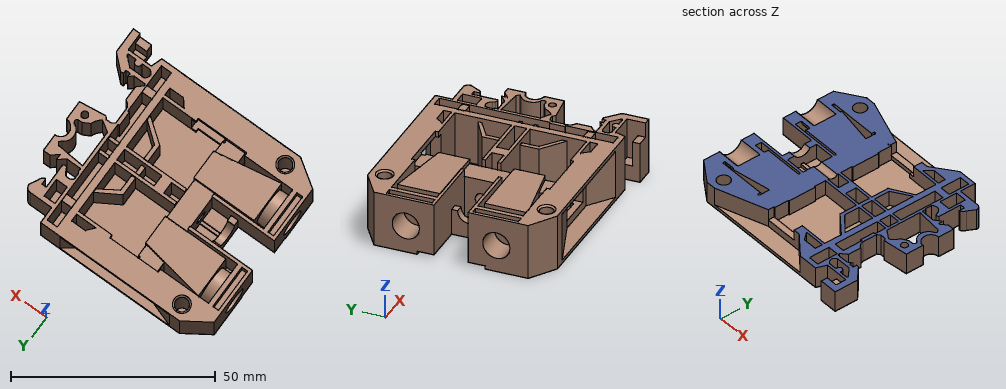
import cadquery as cq

length = 59.0
height = 15.0
half_width = 25.25
body_end = 48.95
bottom = 0.9
relief_half = 9.0
floor = 1.75
wall = 0.9

corner_x = 7.1
corner_y = 4.7
notch_half = 4.55
bar_front = 18.9
bar_back = 25.0
bar_top = 13.0
bar_hole_radius = 1.7
bar_key = 0.5

arm_inner = notch_half + wall
arm_outer = 17.5
arm_front = 3.9
chamber_end = 43.05
wide_front = 18.4
wide_back = 33.05
wide_outer = arm_outer + wall

axis_y = 12.05
axis_z = 7.4
bore_radius = 3.6
head_radius = 5.0
clamp_front = 7.1
clamp_back = 25.3
clamp_top = 14.1

slot_front = 45.0
slot_back = 48.0
slot_half = 23.8

divider_inner = 1.6
divider_outer = divider_inner + wall
rib_top = 13.85
rib_top_between_dividers = 10.6

foot_bottom = -27.25
foot_front = 53.5
foot_step_x = 56.95
foot_top = -22.3


def box(x0, x1, y0, y1, z0, z1):
    """Block between two opposite corners."""
    return cq.Workplane("XY").box(x1 - x0, y1 - y0, z1 - z0, centered=False).translate((x0, y0, z0))


def prism(points, z0, z1):
    """Straight sided outline extruded from z0 to z1."""
    return cq.Workplane("XY").workplane(offset=z0).polyline(points).close().extrude(z1 - z0)


def rod(x0, x1, y, z, radius):
    """Cylinder along X."""
    return cq.Workplane("YZ").workplane(offset=x0).center(y, z).circle(radius).extrude(x1 - x0)


def both_sides(shape):
    """Shape together with its mirror image across the XZ plane."""
    return shape.union(shape.mirror("XZ"))


def outline():
    """Body profile, clockwise from the front face, with the rail clip behind it."""
    front_y = half_width - corner_y
    return (
        cq.Workplane("XY")
        .moveTo(0, front_y)
        .lineTo(corner_x, half_width)
        .lineTo(body_end, half_width)
        .lineTo(body_end, 20.65)
        .lineTo(55.4, 20.65)
        .threePointArc((56.5, 20.2), (56.9, 19.1))
        .lineTo(55.7, 16.95)
        .threePointArc((55.3, 16.15), (54.65, 15.7))
        .lineTo(54.35, 15.7)
        .lineTo(54.35, 17.3)
        .lineTo(53.05, 17.3)
        .lineTo(53.05, 10.45)
        .threePointArc((52.45, 10.15), (51.9, 10.45))
        .lineTo(51.55, 11.1)
        .threePointArc((50.05, 12.3), (48.7, 11.55))
        .lineTo(48.7, 9.85)
        .lineTo(body_end, 9.45)
        .lineTo(body_end, 8.6)
        .lineTo(53.1, 8.6)
        .lineTo(55.05, 10.25)
        .lineTo(55.05, 8.6)
        .lineTo(56.95, 10.25)
        .lineTo(length, 10.25)
        .lineTo(length, 5.4)
        .threePointArc((56.6, 3.0), (length, 0.6))
        .lineTo(length, -4.8)
        .lineTo(51.6, -5.7)
        .lineTo(51.05, -5.0)
        .lineTo(49.55, -5.0)
        .lineTo(48.7, -5.7)
        .lineTo(48.7, -10.1)
        .threePointArc((49.15, -11.15), (50.1, -11.8))
        .lineTo(50.1, -15.75)
        .lineTo(48.45, -17.3)
        .lineTo(48.7, -17.75)
        .lineTo(52.0, -17.75)
        .lineTo(53.1, -16.75)
        .lineTo(53.1, -17.75)
        .lineTo(54.4, -17.75)
        .lineTo(54.4, -16.75)
        .lineTo(55.2, -16.75)
        .lineTo(length, -20.2)
        .lineTo(length, foot_bottom)
        .lineTo(foot_front, foot_bottom)
        .lineTo(foot_front, foot_top)
        .lineTo(50.0, foot_top)
        .lineTo(body_end, -half_width)
        .lineTo(corner_x, -half_width)
        .lineTo(0, -front_y)
        .close()
        .extrude(height)
    )


def lug_window():
    """Opening through the middle lug, following the round notch."""
    return (
        cq.Workplane("XY")
        .moveTo(body_end, 7.7)
        .lineTo(56.65, 7.1)
        .lineTo(57.35, 6.3)
        .lineTo(56.65, 5.7)
        .threePointArc((55.05, 3.0), (56.5, 0.5))
        .threePointArc((57.1, -0.2), (56.65, -0.9))
        .lineTo(55.4, -0.95)
        .lineTo(53.5, -2.0)
        .threePointArc((52.75, -3.35), (51.75, -4.35))
        .lineTo(body_end, -2.6)
        .close()
        .extrude(height)
    )


def foot_window():
    """Opening through the rail foot, with a round stop on its lower edge."""
    low = -21.4
    return (
        cq.Workplane("XY")
        .moveTo(49.75, -18.9)
        .lineTo(54.05, -18.9)
        .lineTo(56.35, -21.0)
        .lineTo(56.35, low)
        .lineTo(54.0, low)
        .lineTo(54.0, -21.1)
        .threePointArc((53.05, -20.2), (52.1, -21.1))
        .lineTo(52.1, low)
        .lineTo(50.1, low)
        .threePointArc((48.85, -20.25), (49.75, -18.9))
        .close()
        .extrude(height)
    )


def foot_steps():
    """Material above the two steps on the inner side of the foot."""
    high_step = 11.0
    low_step = 4.2
    high = box(foot_front, foot_step_x, foot_bottom, -half_width, high_step, height)
    low = box(foot_front, foot_step_x, -half_width, foot_top, low_step, height)
    return high.union(low)


def hook_pocket():
    """Rectangular pocket in the root of the upper hook."""
    return box(48.9, 52.15, 14.3, 19.35, floor, height)


def lug_hole():
    """Small through hole in the middle lug."""
    return cq.Workplane("XY").center(56.0, -2.9).circle(0.95).extrude(height)


def arm_pocket():
    """Pocket of one arm, running back past the bar to the rear chamber."""
    narrow = box(arm_front, bar_front, arm_inner, arm_outer, floor, height)
    wide = box(wide_front, wide_back, arm_inner, wide_outer, floor, height)
    slot_depth = 2.95
    front_slot = box(0.9, 2.6, arm_inner, arm_outer, height - slot_depth, height)
    return narrow.union(wide).union(front_slot)


def rear_chamber():
    """Chamber across the full width behind the front of the bar."""
    return box(bar_front, chamber_end, -arm_outer, arm_outer, floor, height)


def corner_pocket():
    """Small pocket outside the rear corner of the chamber."""
    outer = 20.5
    profile = [(37.2, wide_outer), (38.95, outer), (chamber_end, outer), (chamber_end, wide_outer)]
    return prism(profile, floor, height)


def pin_hole():
    """Blind hole with a chamfered rim near a front corner."""
    radius = 1.8
    chamfer = 0.5
    hole = cq.Workplane("XY").workplane(offset=floor).circle(radius).extrude(height - floor)
    rim = (
        cq.Workplane("XY").workplane(offset=height - chamfer).circle(radius)
        .workplane(offset=chamfer).circle(radius + chamfer).loft()
    )
    return hole.union(rim).translate((9.0, 21.55, 0))


def side_recess():
    """Recess with sloping ends in a side face, and a window through its floor."""
    depth = 5.0
    inner = half_width - depth
    flat_front = 24.65
    profile = [(10.05, half_width), (flat_front, inner), (36.45, inner), (chamber_end, half_width)]
    recess_bottom = 0.95
    recess_top = 13.9
    recess = prism(profile, recess_bottom, recess_top)
    window_bottom = 3.0
    window_top = 13.45
    window = box(flat_front, 34.45, arm_outer, inner, window_bottom, window_top)
    return recess.union(window)


def rear_slot():
    """Long slot in the rear wall, interrupted by bridges."""
    slot = box(slot_front, slot_back, -slot_half, slot_half, floor, height)
    outer_top = height - 0.25
    centre_top = 13.45
    outer_bridges = both_sides(box(slot_front, slot_back, 15.7, 17.75, floor, outer_top))
    centre_bridges = both_sides(box(slot_front, slot_back, divider_inner, divider_outer, floor, centre_top))
    thick_wall = box(47.55, slot_back, -9.85, -5.7, floor, height)
    return slot.cut(outer_bridges).cut(centre_bridges).cut(thick_wall)


def clamp():
    """Clamp in one arm: tapered block behind a round screw head."""
    inner = 5.9
    profile = [(clamp_front, inner), (clamp_back, inner), (clamp_back, 14.15), (clamp_front, 17.35)]
    block = prism(profile, floor, clamp_top)
    return block.union(rod(arm_front, clamp_front, axis_y, axis_z, head_radius))


def cross_bar():
    """Bar across the chamber that joins the two arms."""
    bar = box(bar_front, bar_back, -wide_outer, wide_outer, bottom, bar_top)
    key = box(bar_back - bar_key, bar_back, arm_outer, wide_outer, bar_top - wall, bar_top)
    return bar.cut(both_sides(key))


def dividers():
    """Two centre walls behind the bar, tied together by a cross piece."""
    walls = both_sides(box(bar_back, chamber_end, divider_inner, divider_outer, floor, height))
    return walls.union(box(28.9, 31.85, -divider_inner, divider_inner, floor, height))


def bent_rib(side, end_outer, end_inner):
    """Rib that leaves the centre line and bends back to the rear wall."""
    front = 36.8
    back = 38.0
    bend_outer = 7.6
    bend_inner = 7.0
    points = [
        (front, divider_outer), (front, bend_outer), (chamber_end, end_outer),
        (chamber_end, end_inner), (back, bend_inner), (back, divider_outer),
    ]
    rib = prism([(x, side * y) for x, y in points], floor, rib_top)
    return rib.union(box(front, back, -divider_inner, divider_inner, floor, rib_top_between_dividers))


def bridge():
    """Floor between the arms with an upright cradle plate and a low centre rib."""
    plate_front = 10.9
    plate_back = 13.05
    cradle_radius = 2.95
    cradle_z = 7.9
    plate_top = 8.85
    rib_half = 0.5
    base = box(plate_front, bar_front, -notch_half, notch_half, bottom, floor)
    plate = box(plate_front, plate_back, -notch_half, 0, bottom, plate_top)
    plate = plate.union(box(plate_front, plate_back, 0, notch_half, bottom, cradle_z))
    plate = plate.cut(rod(plate_front, plate_back, 0, cradle_z, cradle_radius))
    plate = plate.cut(box(plate_front, plate_back, -cradle_radius, cradle_radius, cradle_z, plate_top))
    rib = box(plate_back, bar_front, -rib_half, rib_half, floor, floor + wall)
    return base.union(plate).union(rib)


body = outline()
body = body.cut(box(0, bar_front, -notch_half, notch_half, 0, height))
body = body.cut(box(0, bar_front, -relief_half, relief_half, 0, bottom))
body = body.cut(rear_chamber())
for cut in (arm_pocket(), corner_pocket(), pin_hole(), side_recess()):
    body = body.cut(both_sides(cut))
body = body.cut(rear_slot())

body = body.cut(lug_window()).cut(foot_window()).cut(foot_steps())
body = body.cut(hook_pocket()).cut(lug_hole())

body = body.union(cross_bar()).union(bridge()).union(dividers())
body = body.union(bent_rib(side=1, end_outer=11.4, end_inner=10.3))
body = body.union(bent_rib(side=-1, end_outer=12.35, end_inner=11.05))
body = body.union(both_sides(clamp()))
body = body.cut(both_sides(rod(0, clamp_front, axis_y, axis_z, bore_radius)))
body = body.cut(rod(bar_front, bar_back, 0, axis_z, bar_hole_radius))

result = body